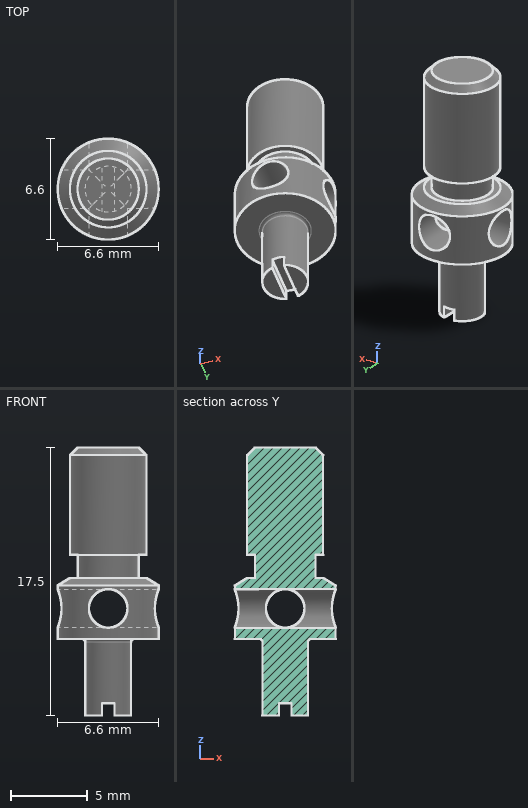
import cadquery as cq

pin_diameter = 3.0
pin_length = 5.0
pin_root_fillet = 0.2
slot_width = 0.8
slot_depth = 0.8

collar_diameter = 6.6
collar_height = 4.0
collar_top_diameter = 5.0
collar_chamfer_height = 0.5
cross_hole_diameter = 2.5
cross_hole_height = 2.0

neck_diameter = 4.0
neck_length = 1.5

head_diameter = 5.0
head_length = 7.0
head_chamfer = 0.5

collar_bottom = pin_length
collar_top = collar_bottom + collar_height
head_bottom = collar_top + neck_length
head_top = head_bottom + head_length
cross_hole_level = collar_bottom + cross_hole_height


def turned_body():
    """Revolve the half profile of pin, collar, neck and head about Z."""
    pin_radius = pin_diameter / 2
    collar_radius = collar_diameter / 2
    neck_radius = neck_diameter / 2
    head_radius = head_diameter / 2
    return (
        cq.Workplane("XZ")
        .moveTo(0, 0)
        .lineTo(pin_radius, 0)
        .lineTo(pin_radius, collar_bottom - pin_root_fillet)
        .radiusArc((pin_radius + pin_root_fillet, collar_bottom), pin_root_fillet)
        .lineTo(collar_radius, collar_bottom)
        .lineTo(collar_radius, collar_top - collar_chamfer_height)
        .lineTo(collar_top_diameter / 2, collar_top)
        .lineTo(neck_radius, collar_top)
        .lineTo(neck_radius, head_bottom)
        .lineTo(head_radius, head_bottom)
        .lineTo(head_radius, head_top - head_chamfer)
        .lineTo(head_radius - head_chamfer, head_top)
        .lineTo(0, head_top)
        .close()
        .revolve(360, (0, 0, 0), (0, 1, 0))
    )


def cross_hole(plane):
    """Cylinder through the full collar, normal to the given plane."""
    return (
        cq.Workplane(plane, origin=(0, 0, cross_hole_level))
        .circle(cross_hole_diameter / 2)
        .extrude(collar_diameter, both=True)
    )


def tip_slot():
    """Slot across the pin tip, running along Y."""
    return cq.Workplane("XY").box(
        slot_width, collar_diameter, slot_depth, centered=(True, True, False)
    )


result = turned_body()
for hole_plane in ("XZ", "YZ"):
    result = result.cut(cross_hole(hole_plane))
result = result.cut(tip_slot())